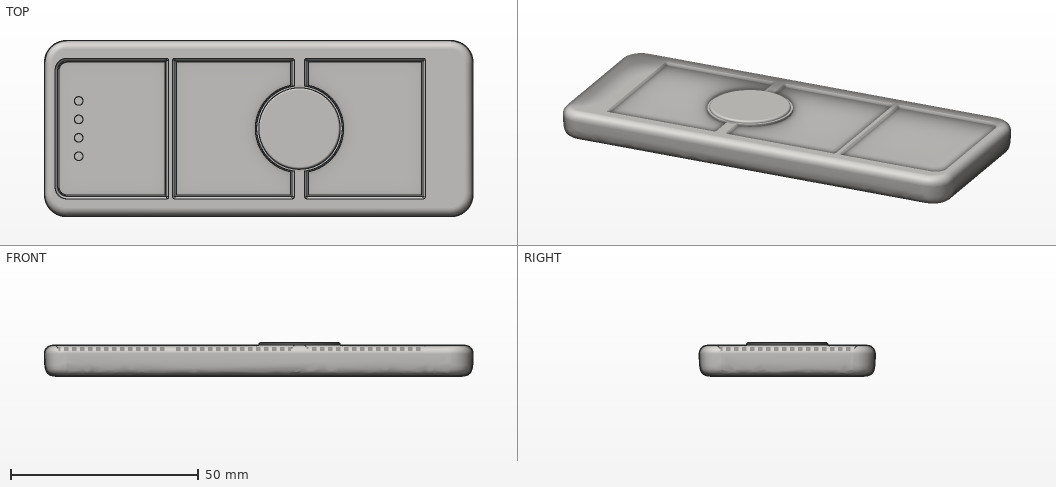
import cadquery as cq
import math

LENGTH = 114.6
WIDTH = 47.1
CASE_HEIGHT = 8.4
CORNER_RADIUS = 6.0

SHOULDER_RADIUS = 2.3
UNDERSIDE_INSET = 4.4
UNDERSIDE_SIDE_PULL = 1.0
UNDERSIDE_FLOOR_PULL = 0.3

RECESS_DEPTH = 0.7
SLOPE_ANGLE = 45
RECESS_HALF_WIDTH = 18.8
LIGHT_RECESS_LEFT = -54.4
LIGHT_RECESS_RIGHT = -24.1
LIGHT_RECESS_CORNER = 3.2
MIDDLE_RECESS_LEFT = -23.0
END_RECESS_RIGHT = 44.6
BRIDGE_WIDTH = 2.8

PANEL_THICKNESS = 0.6
PANEL_MARGIN = 0.3

BUTTON_X = 10.9
BUTTON_RADIUS = 10.9
BUTTON_HEIGHT = 0.7
BUTTON_EDGE_RADIUS = 0.6
SEAT_RADIUS = 11.5

LIGHT_COUNT = 4
LIGHT_RADIUS = 1.1
LIGHT_PITCH = 4.9
LIGHT_X = -48.1

RECESS_FLOOR = CASE_HEIGHT - RECESS_DEPTH
FLOOR_INSET = RECESS_DEPTH * math.tan(math.radians(SLOPE_ANGLE))
PANEL_INSET = FLOOR_INSET + PANEL_MARGIN
PANEL_BOTTOM = RECESS_FLOOR - PANEL_THICKNESS
MIDDLE_RECESS_RIGHT = BUTTON_X - BRIDGE_WIDTH / 2
END_RECESS_LEFT = BUTTON_X + BRIDGE_WIDTH / 2
LIGHT_POINTS = [
    (LIGHT_X, (i - (LIGHT_COUNT - 1) / 2) * LIGHT_PITCH) for i in range(LIGHT_COUNT)
]


def edge_profile(plane, outer):
    """Half cross-section from the centre line out to `outer`, in the given plane."""
    shoulder_z = CASE_HEIGHT - SHOULDER_RADIUS
    diagonal = SHOULDER_RADIUS * math.sin(math.radians(45))
    return (
        cq.Workplane(plane)
        .lineTo(outer - UNDERSIDE_INSET, 0)
        .bezier([
            (outer - UNDERSIDE_INSET, 0),
            (outer - UNDERSIDE_FLOOR_PULL, 0),
            (outer, UNDERSIDE_SIDE_PULL),
            (outer, shoulder_z),
        ])
        .threePointArc(
            (outer - SHOULDER_RADIUS + diagonal, shoulder_z + diagonal),
            (outer - SHOULDER_RADIUS, CASE_HEIGHT),
        )
        .lineTo(0, CASE_HEIGHT)
        .close()
    )


def case_blank():
    """Rounded block: straight edge sections in both directions and revolved corners."""
    straight_x = LENGTH / 2 - CORNER_RADIUS
    straight_y = WIDTH / 2 - CORNER_RADIUS
    side = edge_profile("YZ", WIDTH / 2).extrude(2 * straight_x).translate((-straight_x, 0, 0))
    end = edge_profile("XZ", LENGTH / 2).extrude(2 * straight_y).translate((0, straight_y, 0))
    blank = side.union(side.mirror("XZ")).union(end).union(end.mirror("YZ"))
    corner = edge_profile("XZ", CORNER_RADIUS).revolve(360, (0, 0), (0, 1))
    for x in (-straight_x, straight_x):
        for y in (-straight_y, straight_y):
            blank = blank.union(corner.translate((x, y, 0)))
    return blank.clean()


def bay_outline(bay, inset, bottom):
    """Outline of a bay, shrunk by `inset`; its left corners are rounded if the bay has a corner radius."""
    left, right, corner = bay
    x0 = left + inset
    x1 = right - inset
    half = RECESS_HALF_WIDTH - inset
    outline = cq.Workplane("XY", origin=(0, 0, bottom)).moveTo(x1, -half).lineTo(x1, half)
    if corner:
        radius = corner - inset
        outline = (
            outline.lineTo(x0 + radius, half)
            .radiusArc((x0, half - radius), -radius)
            .lineTo(x0, -half + radius)
            .radiusArc((x0 + radius, -half), -radius)
        )
    else:
        outline = outline.lineTo(x0, half).lineTo(x0, -half)
    return outline.close()


def button_disc(radius, bottom, height):
    return cq.Workplane("XY", origin=(BUTTON_X, 0, bottom)).circle(radius).extrude(height)


def recess(bay):
    """Recess with sloped walls, stopping at the upright wall of the button seat."""
    sloped = bay_outline(bay, FLOOR_INSET, RECESS_FLOOR).extrude(RECESS_DEPTH, taper=-SLOPE_ANGLE)
    return sloped.cut(button_disc(SEAT_RADIUS, RECESS_FLOOR, RECESS_DEPTH))


def panel(bay):
    """Plate let flush into the recess floor, with a margin to the walls and the button seat."""
    plate = bay_outline(bay, PANEL_INSET, PANEL_BOTTOM).extrude(PANEL_THICKNESS)
    return plate.cut(button_disc(SEAT_RADIUS + PANEL_MARGIN, PANEL_BOTTOM, PANEL_THICKNESS))


def indicator_light(point):
    x, y = point
    base = cq.Workplane("XY", origin=(x, y, PANEL_BOTTOM))
    return base.circle(LIGHT_RADIUS).extrude(PANEL_THICKNESS)


BAYS = [
    (LIGHT_RECESS_LEFT, LIGHT_RECESS_RIGHT, LIGHT_RECESS_CORNER),
    (MIDDLE_RECESS_LEFT, MIDDLE_RECESS_RIGHT, 0),
    (END_RECESS_LEFT, END_RECESS_RIGHT, 0),
]

panels = [panel(bay) for bay in BAYS]
lights = [indicator_light(point) for point in LIGHT_POINTS]

case = case_blank()
for bay, plate in zip(BAYS, panels):
    case = case.cut(recess(bay)).cut(plate)

for light in lights:
    panels[0] = panels[0].cut(light)

button = button_disc(BUTTON_RADIUS, CASE_HEIGHT, BUTTON_HEIGHT)
button = button.faces(">Z").edges().fillet(BUTTON_EDGE_RADIUS)

bodies = [case, button, *panels, *lights]
result = cq.Compound.makeCompound([solid for body in bodies for solid in body.solids().vals()])